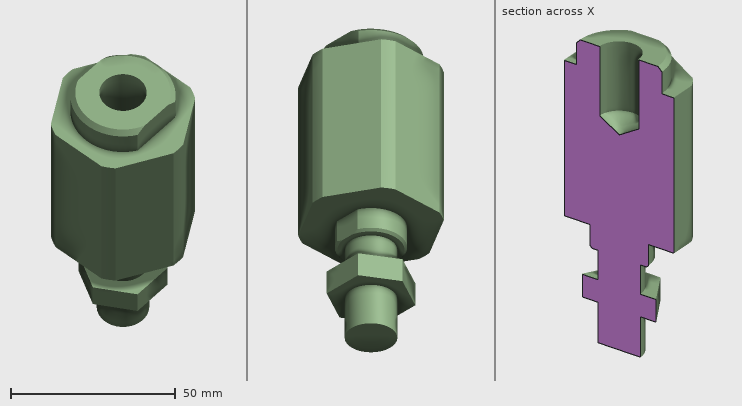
import cadquery as cq
import math

stud_diameter = 16.0
stud_tip_length = 14.0
stud_neck_length = 10.0

nut_across_flats = 24.0
nut_height = 8.0

collar_diameter = 22.0
collar_across_flats = 20.0
collar_height = 8.0
collar_chamfer = 0.8

housing_across_flats = 41.0
housing_corner_diameter = 45.0
housing_height = 54.0

boss_diameter = 32.0
boss_across_flats = 27.0
boss_height = 9.0
boss_chamfer = 1.5

hole_diameter = 14.38
hole_depth = 24.0
drill_point_angle = 118.0

nut_bottom = stud_tip_length
collar_bottom = nut_bottom + nut_height + stud_neck_length
housing_bottom = collar_bottom + collar_height
boss_bottom = housing_bottom + housing_height
part_top = boss_bottom + boss_height


def cylinder(diameter, height, bottom):
    return cq.Workplane("XY").workplane(offset=bottom).circle(diameter / 2).extrude(height)


def hexagon(across_flats, height, bottom):
    """Hexagonal prism with two corners on the X axis."""
    across_corners = across_flats / math.cos(math.radians(30))
    return cq.Workplane("XY").workplane(offset=bottom).polygon(6, across_corners).extrude(height)


def cut_side_flats(body, diameter, across_flats, height, bottom):
    """Trim a round body to two flats facing -X and +X."""
    slab = cq.Workplane("XY").workplane(offset=bottom).rect(across_flats, diameter).extrude(height)
    return body.intersect(slab)


def make_stud():
    return cylinder(stud_diameter, collar_bottom, 0)


def make_nut():
    nut = hexagon(nut_across_flats, nut_height, nut_bottom)
    return nut.rotate((0, 0, 0), (0, 0, 1), 90)


def make_collar():
    collar = cylinder(collar_diameter, collar_height, collar_bottom)
    collar = collar.faces("<Z").edges().chamfer(collar_chamfer)
    return cut_side_flats(collar, collar_diameter, collar_across_flats, collar_height, collar_bottom)


def make_housing():
    turned_blank = cylinder(housing_corner_diameter, housing_height, housing_bottom)
    return turned_blank.intersect(hexagon(housing_across_flats, housing_height, housing_bottom))


def make_boss():
    boss = cylinder(boss_diameter, boss_height, boss_bottom)
    boss = boss.faces(">Z").edges().chamfer(boss_chamfer)
    return cut_side_flats(boss, boss_diameter, boss_across_flats, boss_height, boss_bottom)


def make_hole():
    """Drilled hole with a conical end."""
    radius = hole_diameter / 2
    wall_bottom = part_top - hole_depth
    point_depth = radius / math.tan(math.radians(drill_point_angle / 2))
    profile = (
        cq.Workplane("XZ")
        .moveTo(0, part_top)
        .lineTo(radius, part_top)
        .lineTo(radius, wall_bottom)
        .lineTo(0, wall_bottom - point_depth)
        .close()
    )
    return profile.revolve(360, (0, 0), (0, 1))


result = (
    make_housing()
    .union(make_boss())
    .union(make_collar())
    .union(make_stud())
    .union(make_nut())
    .cut(make_hole())
)